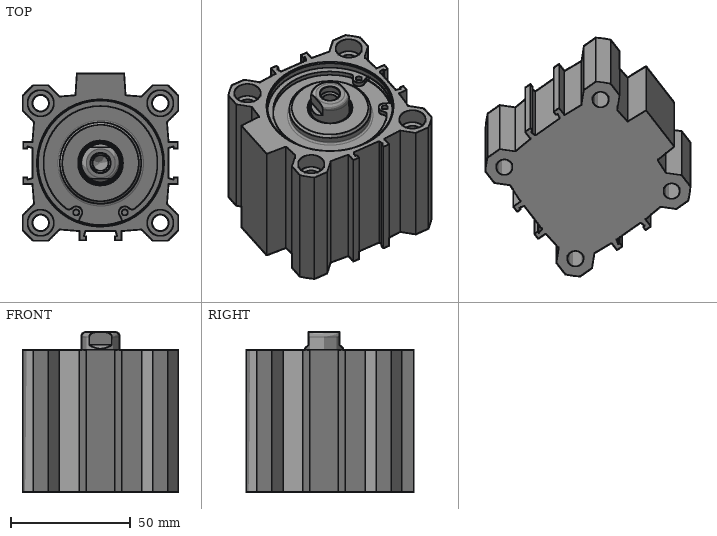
import cadquery as cq
import math


body_width = 65.0
overall_depth = 70.0
half_width = body_width / 2
body_height = 59.5
corner_radius = 43.0
lobe_inner = 21.85
notch_depth = 4.7
notch_face = half_width - notch_depth
side_face = 28.5
rib_reach = 32.35
rib_outer = 8.8
rib_root_inner = 6.3
rib_neck_inner = 6.85
rib_lip_inner = 6.0
rib_lip_height = 1.75
port_block_reach = overall_depth - half_width
port_block_half_root = 10.5
port_block_half_end = 9.95

mount_spacing = 50.0
mount_hole_diameter = 6.8
mount_counterbore_diameter = 11.0
mount_counterbore_depth = 7.0

bore_diameter = 52.2
bore_rim_chamfer = 0.5
ring_top_depth = 3.0
ring_thickness = 2.0
groove_diameter = 55.2

ring_inner_diameter = 47.7
ring_gap_half_angle = 20.5
ring_ear_x = 10.15
ring_ear_y = -20.65
ring_ear_radius = 2.5
ring_ear_fillet = 1.75
ring_hole_diameter = 2.5

cover_diameter = 51.8
cover_thickness = 9.8
collar_diameter = 34.0
collar_top_depth = 0.85
collar_chamfer = 1.05
collar_root_fillet = 0.85
wiper_recess_diameter = 17.7
wiper_rim_width = 0.55
wiper_rim_depth = 0.35
wiper_recess_depth = 1.0
rod_bore_diameter = 16.5
rod_bore_chamfer = 0.3

rod_diameter = 16.0
rod_top = 67.0
rod_fillet = 1.95
flats_width = 13.0
flats_length = 5.45
socket_rim_diameter = 8.55
socket_diameter = 8.25
socket_depth = 3.0
thread_hole_diameter = 6.65
thread_hole_depth = 14.0
drill_point_angle = 118.0

ring_top = body_height - ring_top_depth
ring_bottom = ring_top - ring_thickness
cover_bottom = ring_bottom - cover_thickness
collar_top = body_height - collar_top_depth

BOTH_SIDES = (1, -1)


def cylinder(diameter, bottom, top):
    """A cylinder on the bore axis between two levels."""
    return cq.Workplane("XY").workplane(offset=bottom).circle(diameter / 2).extrude(top - bottom)


def revolved(section):
    """A solid turned about the Z axis from (radius, level) points."""
    return cq.Workplane("XZ").polyline(section).close().revolve(360, (0, 0, 0), (0, 1, 0))


def turned(point, quarter_turns):
    """A point turned about the bore axis by a number of quarter turns."""
    x, y = point
    for _ in range(quarter_turns):
        x, y = -y, x
    return (x, y)


def make_housing_core():
    """The four-lobed extrusion without ribs and port block."""
    corner_end = math.sqrt(corner_radius**2 - half_width**2)
    corner_middle = corner_radius / math.sqrt(2)
    notch_end = lobe_inner - notch_depth
    quarter_side = [
        (side_face, rib_outer),
        (notch_face, notch_end),
        (half_width, lobe_inner),
        (half_width, corner_end),
    ]
    outline = cq.Workplane("XY").moveTo(side_face, 0)
    for quarter_turn in range(4):
        for point in quarter_side:
            outline = outline.lineTo(*turned(point, quarter_turn))
        outline = outline.threePointArc(
            turned((corner_middle, corner_middle), quarter_turn),
            turned((corner_end, half_width), quarter_turn),
        )
        for x, y in reversed(quarter_side[:-1]):
            outline = outline.lineTo(*turned((y, x), quarter_turn))
    return outline.close().extrude(body_height)


def make_rib(side):
    """One hooked rib on the -Y side; a mirrored pair forms a sensor slot."""
    lip_root = rib_reach - rib_lip_height
    section = [
        (side * rib_outer, -notch_face),
        (side * rib_outer, -rib_reach),
        (side * rib_lip_inner, -rib_reach),
        (side * rib_lip_inner, -lip_root),
        (side * rib_neck_inner, -lip_root),
        (side * rib_root_inner, -side_face),
        (side * rib_root_inner, -notch_face),
    ]
    return cq.Workplane("XY").polyline(section).close().extrude(body_height)


def make_port_block():
    """Block on the +Y side, tapering slightly outwards."""
    section = [
        (-port_block_half_root, notch_face),
        (port_block_half_root, notch_face),
        (port_block_half_root, side_face),
        (port_block_half_end, port_block_reach),
        (-port_block_half_end, port_block_reach),
        (-port_block_half_root, side_face),
    ]
    return cq.Workplane("XY").polyline(section).close().extrude(body_height)


def make_housing():
    """Profiled body with mounting holes, blind bore and ring groove."""
    housing = make_housing_core().union(make_port_block())
    for angle in (-90, 0, 90):
        for side in BOTH_SIDES:
            housing = housing.union(make_rib(side).rotate((0, 0, 0), (0, 0, 1), angle))
    housing = (
        housing.faces(">Z").workplane(origin=(0, 0, body_height))
        .rect(mount_spacing, mount_spacing, forConstruction=True)
        .vertices()
        .cboreHole(mount_hole_diameter, mount_counterbore_diameter, mount_counterbore_depth)
    )
    bore_radius = bore_diameter / 2
    bore = revolved([
        (0, cover_bottom),
        (bore_radius, cover_bottom),
        (bore_radius, body_height - bore_rim_chamfer),
        (bore_radius + bore_rim_chamfer, body_height),
        (0, body_height),
    ])
    groove = cylinder(groove_diameter, ring_bottom, ring_top)
    return housing.cut(bore).cut(groove)


def make_snap_ring():
    """Open retaining ring with a drilled ear at each end."""
    ring = cylinder(groove_diameter, ring_bottom, ring_top)
    ring = ring.cut(cylinder(ring_inner_diameter, ring_bottom, ring_top))
    gap_x = groove_diameter * math.tan(math.radians(ring_gap_half_angle))
    gap = (
        cq.Workplane("XY").workplane(offset=ring_bottom)
        .polyline([(0, 0), (-gap_x, -groove_diameter), (gap_x, -groove_diameter)])
        .close()
        .extrude(ring_thickness)
    )
    ring = ring.cut(gap)
    ear_centres = [(side * ring_ear_x, ring_ear_y) for side in BOTH_SIDES]
    ears = (
        cq.Workplane("XY").workplane(offset=ring_bottom)
        .pushPoints(ear_centres)
        .circle(ring_ear_radius)
        .extrude(ring_thickness)
    )
    ring = ring.union(ears)
    inner_radius = ring_inner_diameter / 2
    ear_distance = math.hypot(ring_ear_x, ring_ear_y)
    ear_angle = math.atan2(ring_ear_x, -ring_ear_y)
    half_ear_angle = math.acos(
        (inner_radius**2 + ear_distance**2 - ring_ear_radius**2)
        / (2 * inner_radius * ear_distance)
    )
    corner_angle = ear_angle + half_ear_angle
    corner_x = inner_radius * math.sin(corner_angle)
    corner_y = -inner_radius * math.cos(corner_angle)
    for side in BOTH_SIDES:
        corner = (side * corner_x, corner_y, ring_bottom + ring_thickness / 2)
        corner_edge = cq.selectors.NearestToPointSelector(corner)
        ring = ring.edges("|Z").edges(corner_edge).fillet(ring_ear_fillet)
    holes = (
        cq.Workplane("XY").workplane(offset=ring_bottom)
        .pushPoints(ear_centres)
        .circle(ring_hole_diameter / 2)
        .extrude(ring_thickness)
    )
    return ring.cut(holes)


def make_cover():
    """Rod guide disc with a raised collar, held down by the snap ring."""
    disc = cylinder(cover_diameter, cover_bottom, ring_bottom)
    collar = cylinder(collar_diameter, ring_bottom, collar_top).faces(">Z").edges().chamfer(collar_chamfer)
    cover = disc.union(collar)
    collar_root = cover.faces("|Z").faces(">Z[-2]").edges(cq.selectors.RadiusNthSelector(0))
    cover = collar_root.fillet(collar_root_fillet)
    recess_radius = wiper_recess_diameter / 2
    rod_bore_radius = rod_bore_diameter / 2
    opening = revolved([
        (0, cover_bottom),
        (rod_bore_radius, cover_bottom),
        (rod_bore_radius, collar_top - wiper_recess_depth - rod_bore_chamfer),
        (rod_bore_radius + rod_bore_chamfer, collar_top - wiper_recess_depth),
        (recess_radius, collar_top - wiper_recess_depth),
        (recess_radius, collar_top - wiper_rim_depth),
        (recess_radius + wiper_rim_width, collar_top),
        (0, collar_top),
    ])
    return cover.cut(opening)


def make_rod():
    """Rod with two wrench flats and a threaded end socket, standing on the bore floor."""
    rod = cylinder(rod_diameter, cover_bottom, rod_top).faces(">Z").edges().fillet(rod_fillet)
    half_flats = flats_width / 2
    run_out = rod_diameter / 2 - half_flats
    flats_bottom = rod_top - flats_length
    for side in BOTH_SIDES:
        flat = (
            cq.Workplane("YZ")
            .polyline([
                (side * half_flats, rod_top),
                (side * half_flats, flats_bottom),
                (side * (half_flats + run_out), flats_bottom - run_out),
                (side * (half_flats + run_out), rod_top),
            ])
            .close()
            .extrude(rod_diameter / 2, both=True)
        )
        rod = rod.cut(flat)
    rim_radius = socket_rim_diameter / 2
    socket_radius = socket_diameter / 2
    hole_radius = thread_hole_diameter / 2
    hole_bottom = rod_top - thread_hole_depth
    point_depth = hole_radius / math.tan(math.radians(drill_point_angle / 2))
    step = socket_radius - hole_radius
    socket = revolved([
        (0, rod_top),
        (rim_radius, rod_top),
        (socket_radius, rod_top - (rim_radius - socket_radius)),
        (socket_radius, rod_top - socket_depth),
        (hole_radius, rod_top - socket_depth - step),
        (hole_radius, hole_bottom),
        (0, hole_bottom - point_depth),
    ])
    return rod.cut(socket)


housing = make_housing()
snap_ring = make_snap_ring()
cover = make_cover()
rod = make_rod()
result = cq.Compound.makeCompound([housing.val(), snap_ring.val(), cover.val(), rod.val()])